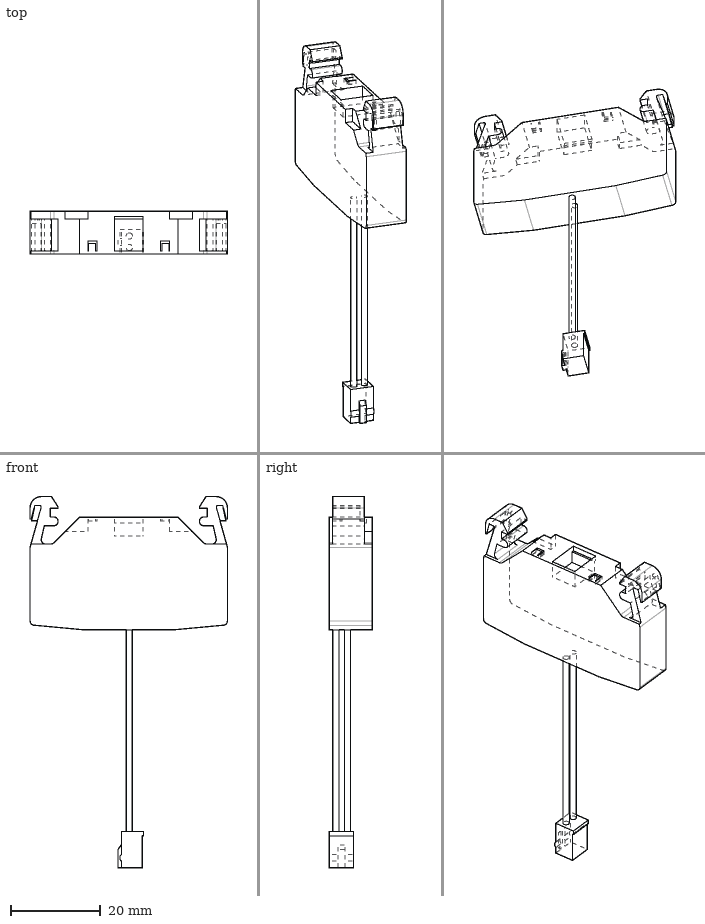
import cadquery as cq
import math

housing_width = 44.0
housing_depth = 9.6
housing_height = 25.05
half_width = housing_width / 2
half_top = 11.0
shoulder_height = 19.1
shoulder_end = half_top + housing_height - shoulder_height
half_bottom = 10.4
bottom_rise = 1.1
bottom_corner_radius = 1.0
slope_foot_radius = 1.2

hook_front = 0.75
hook_back = 7.85
hook_top = 29.7
hook_root = 18.4
crown_radius = 2.6
crown_inner_end = 17.2
jaw_tip = 15.7
jaw_top = 27.4
jaw_bottom = 27.05
throat = 17.45
nose_height = 24.15
nose_radius = 1.0
leg_top_inner = 18.8
leg_foot_inner = 19.4
leg_foot_height = 20.3
foot_blend_end = 18.5
lip_bottom = 24.65
lip_tip = 21.7
slot_top = 27.7
slot_outer = 20.9
slot_inner = 19.5
slot_shoulder_height = 27.2
slot_corner = 0.4
web_bottom = 24.2
web_thickness = 1.0

notch_floor = 21.9
notch_end = 9.1
pocket_width = 6.3
pocket_front = 0.75
pocket_back = 7.85
pocket_depth = 4.1
ledge_width = 0.5
ledge_depth = 1.2
tab_inner = 7.1
tab_outer = 9.1
tab_root = 0.75
tab_slot_back = 2.9
back_slot_width = 0.5
inner_slot_width = 0.25
outer_slot_width = 0.1
tab_slot_depth = 0.8

wire_diameter = 1.4
wire_x = 0.12
wire_places_y = (1.5, 4.05)
total_height = 82.7
plug_bottom = hook_top - total_height
plug_height = 8.1
plug_top = plug_bottom + plug_height
plug_left = -1.65
plug_right = 3.1
plug_depth = 5.45
rim_overhang = 0.25
rim_height = 1.0
latch_width = 1.5
latch_reach = 0.75
latch_slope_height = 1.0
latch_height = 5.1
ridge_height = 1.5
ridge_reach = 0.3
ridge_height_above_base = 2.2
ridge_centre = plug_bottom + ridge_height_above_base


def block(x0, x1, y0, y1, z0, z1):
    """Axis-aligned block between the given limits."""
    return cq.Workplane("XY").box(x1 - x0, y1 - y0, z1 - z0, centered=False).translate((x0, y0, z0))


def front_sketch(y):
    """Workplane at depth y whose local axes are X and Z; extrude negative to go towards +Y."""
    return cq.Workplane("XZ", origin=(0, y, 0))


def both_ends(left):
    """The left-hand feature together with its mirror image at the right-hand end."""
    return left.union(left.mirror("YZ"))


def leg_plane_x(z):
    """X of the straight outer face of the left leg at height z."""
    lean = (half_width - slot_inner) / (slot_shoulder_height - hook_root)
    return -half_width + lean * (z - hook_root)


def make_housing():
    half_outline = [
        (0, 0),
        (-half_bottom, 0),
        (-half_width, bottom_rise),
        (-half_width, hook_root),
        (leg_plane_x(shoulder_height), shoulder_height),
        (-shoulder_end, shoulder_height),
        (-half_top, housing_height),
        (0, housing_height),
    ]
    half = front_sketch(0).polyline(half_outline).close().extrude(-housing_depth)
    mid_depth = housing_depth / 2
    bottom_corner = cq.NearestToPointSelector((-half_width, mid_depth, bottom_rise))
    half = half.edges(bottom_corner).fillet(bottom_corner_radius)
    slope_foot = cq.NearestToPointSelector((-shoulder_end, mid_depth, shoulder_height))
    half = half.edges(slope_foot).fillet(slope_foot_radius)
    return both_ends(half)


def make_hook():
    crown_inset = crown_radius * (1 - math.sqrt(0.5))
    crown_middle = (-half_width + crown_inset, hook_top - crown_inset)
    nose_x = -jaw_tip - nose_radius
    hook = (
        front_sketch(hook_front)
        .moveTo(-half_width, hook_root)
        .lineTo(leg_plane_x(lip_bottom), lip_bottom)
        .lineTo(leg_plane_x(slot_shoulder_height), slot_shoulder_height)
        .tangentArcPoint((-slot_inner - slot_corner, slot_top), relative=False)
        .lineTo(-slot_outer, slot_top)
        .lineTo(-lip_tip, lip_bottom)
        .lineTo(-half_width, lip_bottom)
        .lineTo(-half_width, hook_top - crown_radius)
        .threePointArc(crown_middle, (-half_width + crown_radius, hook_top))
        .lineTo(-crown_inner_end, hook_top)
        .lineTo(-jaw_tip, jaw_top)
        .lineTo(-jaw_tip, jaw_bottom)
        .lineTo(-throat, jaw_bottom)
        .lineTo(-throat, nose_height + nose_radius)
        .lineTo(nose_x, nose_height + nose_radius)
        .threePointArc((-jaw_tip, nose_height), (nose_x, nose_height - nose_radius))
        .lineTo(-leg_top_inner, nose_height - nose_radius)
        .lineTo(-leg_foot_inner, leg_foot_height)
        .tangentArcPoint((-foot_blend_end, shoulder_height), relative=False)
        .lineTo(-foot_blend_end, hook_root)
        .close()
        .extrude(hook_front - hook_back)
    )
    web = (
        front_sketch(hook_back - web_thickness)
        .polyline([
            (leg_plane_x(web_bottom), web_bottom),
            (leg_plane_x(slot_top), slot_top),
            (-slot_outer, slot_top),
            (-lip_tip, web_bottom),
        ])
        .close()
        .extrude(-web_thickness)
    )
    return hook.union(web)


def make_notch():
    """Step in the back corner of the housing top."""
    return block(-shoulder_end, -notch_end, hook_back, housing_depth, notch_floor, housing_height)


def make_pocket():
    half = pocket_width / 2
    deep = block(-half, half, pocket_front, pocket_back, housing_height - pocket_depth, housing_height)
    ledge = block(-half, half, pocket_back, pocket_back + ledge_width,
                  housing_height - ledge_depth, housing_height)
    return deep.union(ledge)


def make_tab_slot():
    """Narrow U-shaped slot that leaves a tab joined to the housing top along its front edge."""
    floor = housing_height - tab_slot_depth
    surround = block(-tab_outer, -tab_inner, tab_root, tab_slot_back, floor, housing_height)
    tab = block(-tab_outer + outer_slot_width, -tab_inner - inner_slot_width,
                tab_root, tab_slot_back - back_slot_width, floor, housing_height)
    return surround.cut(tab)


def make_wires():
    return (
        cq.Workplane("XY", origin=(0, 0, plug_top))
        .pushPoints([(wire_x, y) for y in wire_places_y])
        .circle(wire_diameter / 2)
        .extrude(-plug_top)
    )


def make_plug():
    body = block(plug_left, plug_right, 0, plug_depth, plug_bottom, plug_top)
    rim = block(plug_right, plug_right + rim_overhang, 0, plug_depth, plug_top - rim_height, plug_top)
    latch_top = plug_bottom + latch_height
    latch = (
        front_sketch((plug_depth - latch_width) / 2)
        .polyline([
            (plug_left, plug_bottom),
            (plug_left, latch_top),
            (plug_left - latch_reach, latch_top - latch_slope_height),
            (plug_left - latch_reach, plug_bottom),
        ])
        .close()
        .extrude(-latch_width)
    )
    ridge = (
        front_sketch(0)
        .moveTo(plug_left, ridge_centre - ridge_height / 2)
        .threePointArc((plug_left - ridge_reach, ridge_centre), (plug_left, ridge_centre + ridge_height / 2))
        .close()
        .extrude(-plug_depth)
    )
    return body.union(rim).union(latch).union(ridge)


housing = make_housing().cut(both_ends(make_notch())).cut(make_pocket()).cut(both_ends(make_tab_slot()))
result = housing.union(both_ends(make_hook())).union(make_wires()).union(make_plug()).clean()